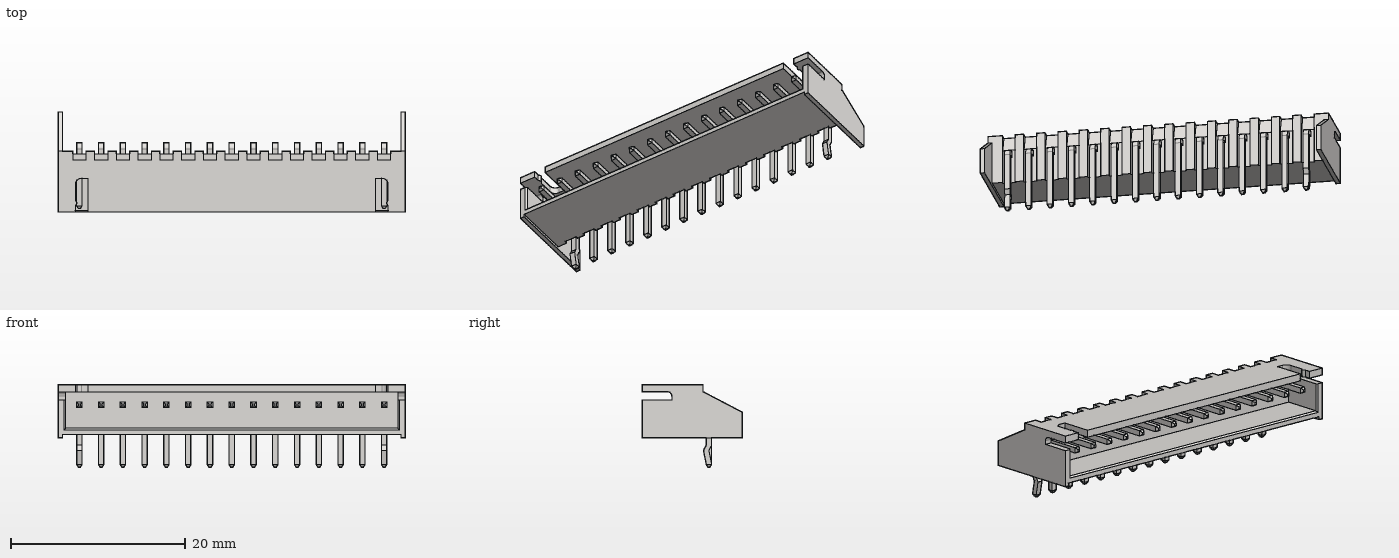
import cadquery as cq


length = 39.9
body_depth = 7.0
cheek_depth = 11.5
height = 6.1
underside = 0.35
cheek_thickness = 0.5

slope_top = 5.3
slope_bottom = 2.95
side_slot_depth = 3.4
side_slot_bottom = 4.35
side_slot_radius = 0.48

wall = 0.88
floor_top = 1.1
roof_thickness = 0.85
cavity_depth = 4.8
lead_in = 0.2
lead_in_depth = 0.15

key_slot_outer = 2.0
key_slot_inner = 3.45
key_slot_depth = 3.87
key_slot_radius = 0.7
bump_height = 0.2
bump_start = 0.7
bump_end = 1.35

notch_width = 1.5
notch_depth = 1.0
notch_setback = 0.3
notch_slope_bottom = 4.35

pin_count = 15
pin_span = 35.0
pin_size = 0.65
pin_axis_z = 3.8
pin_front = 0.4
pin_back = 7.98
pin_bottom = -3.4
bend_radius = 0.75
tip_length = 0.3
tip_taper = 0.2
kink_start = -0.85
kink_end = -1.45
kink_offset = 0.3

roof_bottom = height - roof_thickness
pin_pitch = pin_span / (pin_count - 1)
pin_positions = [i * pin_pitch - pin_span / 2 for i in range(pin_count)]


def block(x_range, y_range, z_range):
    """Box between the given limits."""
    sizes = [high - low for low, high in (x_range, y_range, z_range)]
    return cq.Workplane("XY").box(*sizes, centered=False).translate((x_range[0], y_range[0], z_range[0]))


def make_cheek():
    """Left end plate with its sloping back edge."""
    outline = [
        (0, 0),
        (cheek_depth, 0),
        (cheek_depth, slope_bottom),
        (body_depth, slope_top),
        (body_depth, height),
        (0, height),
    ]
    cheek = cq.Workplane("YZ").polyline(outline).close().extrude(cheek_thickness)
    return cheek.translate((-length / 2, 0, 0))


def make_cavity():
    """Mating cavity with a bevelled mouth along the floor and the end walls."""
    half_width = length / 2 - wall
    cavity = block((-half_width, half_width), (0, cavity_depth), (floor_top, roof_bottom))
    mouth = (
        cq.Workplane("XZ")
        .polyline([
            (-half_width - lead_in, floor_top - lead_in),
            (half_width + lead_in, floor_top - lead_in),
            (half_width + lead_in, roof_bottom),
            (-half_width - lead_in, roof_bottom),
        ])
        .close()
        .workplane(offset=-lead_in_depth)
        .polyline([
            (-half_width, floor_top),
            (half_width, floor_top),
            (half_width, roof_bottom),
            (-half_width, roof_bottom),
        ])
        .close()
        .loft(ruled=True)
    )
    return cavity.union(mouth)


def make_side_slot():
    """Slot through both cheeks below the roof, rounded at its upper inner corner."""
    slot = block((-length / 2, length / 2), (0, side_slot_depth), (side_slot_bottom, roof_bottom))
    return slot.edges(">Y and >Z").fillet(side_slot_radius)


def make_key_slot():
    """Left slot in the roof, with a small retaining bump on its outer wall."""
    outer = key_slot_outer - length / 2
    inner = key_slot_inner - length / 2
    slot = block((outer, inner), (0, key_slot_depth), (roof_bottom, height))
    slot = slot.edges("|Z and >Y and <X").fillet(key_slot_radius)
    bump = (
        cq.Workplane("XY", origin=(0, 0, roof_bottom))
        .polyline([
            (outer, bump_start),
            (outer + bump_height, (bump_start + bump_end) / 2),
            (outer, bump_end),
        ])
        .close()
        .extrude(roof_thickness)
    )
    return slot.cut(bump)


def make_notch(x):
    """Notch behind one pin; its face slopes outwards down to the pin, then drops straight."""
    outline = [
        (body_depth, underside),
        (body_depth - notch_setback, underside),
        (body_depth - notch_setback, notch_slope_bottom),
        (body_depth - notch_depth, height),
        (body_depth, height),
    ]
    notch = cq.Workplane("YZ").polyline(outline).close().extrude(notch_width / 2, both=True)
    return notch.translate((x, 0, 0))


def make_pin(x, kinked):
    """Square right-angle pin with tapered tips; a kinked tail grips the board."""
    top = pin_axis_z + pin_size / 2
    bottom = pin_axis_z - pin_size / 2
    inner = pin_back - pin_size
    front = pin_front + tip_length
    tail = pin_bottom + tip_length
    inner_kink = []
    outer_kink = []
    if kinked:
        inner_kink = [(inner, kink_start), (inner - kink_offset, kink_end)]
        outer_kink = [(pin_back - kink_offset, kink_end), (pin_back, kink_start)]
    shank_outline = [
        (pin_back, top),
        (front, top),
        (front, bottom),
        (inner, bottom),
        *inner_kink,
        (inner, tail),
        (pin_back, tail),
        *outer_kink,
    ]
    shank = cq.Workplane("YZ").polyline(shank_outline).close().extrude(pin_size / 2, both=True)
    shank = shank.edges(">Y and >Z").fillet(bend_radius)
    tip_size = pin_size - 2 * tip_taper
    front_tip = (
        cq.Workplane("XZ", origin=(0, front, pin_axis_z))
        .rect(pin_size, pin_size)
        .workplane(offset=tip_length)
        .rect(tip_size, tip_size)
        .loft()
    )
    tail_tip = (
        cq.Workplane("XY", origin=(0, pin_back - pin_size / 2, tail))
        .rect(pin_size, pin_size)
        .workplane(offset=-tip_length)
        .rect(tip_size, tip_size)
        .loft()
    )
    return shank.union(front_tip).union(tail_tip).translate((x, 0, 0))


housing = block((-length / 2, length / 2), (0, body_depth), (underside, height))
for cheek in (make_cheek(), make_cheek().mirror("YZ")):
    housing = housing.union(cheek)
housing = housing.cut(make_cavity()).cut(make_side_slot())
for key_slot in (make_key_slot(), make_key_slot().mirror("YZ")):
    housing = housing.cut(key_slot)
for x in pin_positions:
    housing = housing.cut(make_notch(x))

result = housing
for x in pin_positions:
    at_end = x in (pin_positions[0], pin_positions[-1])
    result = result.union(make_pin(x, kinked=at_end))